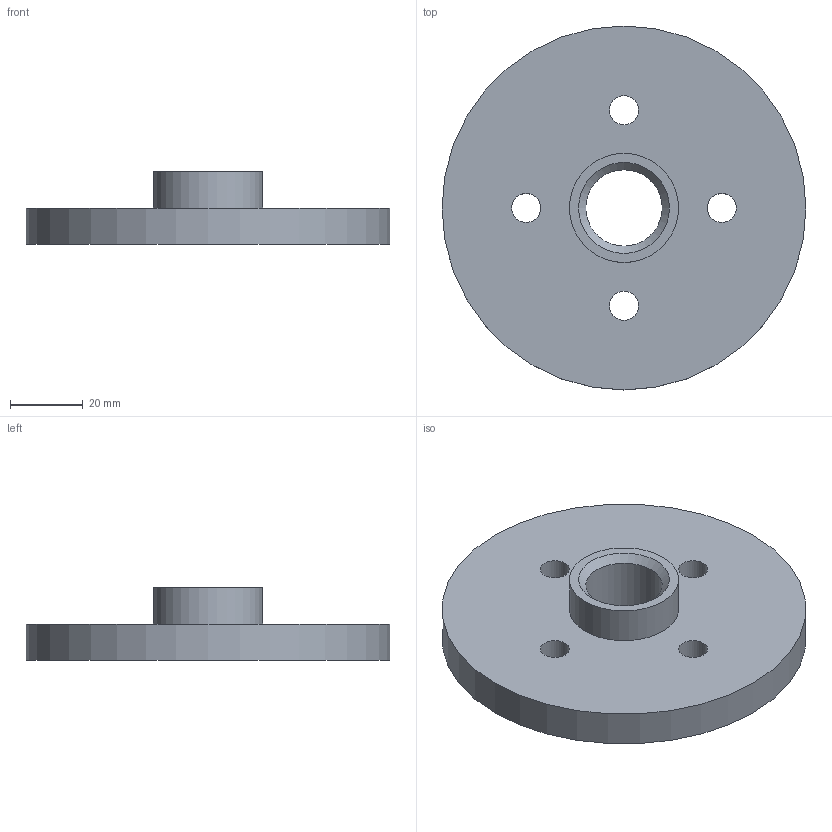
import cadquery as cq

flange_diameter = 100.0
flange_thickness = 10.0

hub_diameter = 30.0
hub_height = 10.0
total_height = flange_thickness + hub_height

bore_diameter = 21.0
mouth_diameter = 25.0
lead_in_depth = (mouth_diameter - bore_diameter) / 2

mounting_hole_count = 4
mounting_hole_diameter = 8.0
bolt_circle_diameter = 53.75


def make_flanged_hub():
    """Flange disc resting on Z = 0 with the hub standing on its top face."""
    flange = cq.Workplane("XY").circle(flange_diameter / 2).extrude(flange_thickness)
    hub = cq.Workplane("XY").circle(hub_diameter / 2).extrude(total_height)
    return flange.union(hub)


def cut_bore(body):
    """Bore through the hub and flange, then bevel the edge at the hub mouth."""
    bored = body.faces(">Z").workplane().hole(bore_diameter)
    mouth_edge = cq.selectors.RadiusNthSelector(0)
    return bored.faces(">Z").edges(mouth_edge).chamfer(lead_in_depth)


def cut_mounting_holes(body):
    """Evenly spaced holes through the flange, starting on the +X axis."""
    holes = (
        cq.Workplane("XY")
        .polarArray(bolt_circle_diameter / 2, 0, 360, mounting_hole_count)
        .circle(mounting_hole_diameter / 2)
        .extrude(flange_thickness)
    )
    return body.cut(holes)


result = cut_mounting_holes(cut_bore(make_flanged_hub()))